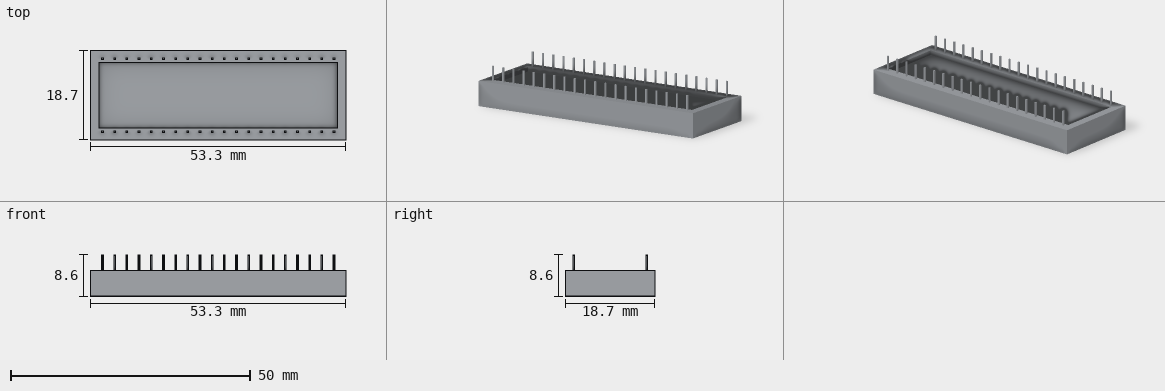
import cadquery as cq

body_length = 53.3
body_width = 18.7
body_height = 5.4
overall_height = 8.6

recess_length = 49.7
recess_width = 13.7
recess_depth = 1.0

pins_per_row = 20
row_count = 2
pin_pitch = 2.54
row_spacing = 15.24
pin_side = 0.35
pin_height = overall_height - body_height


def make_body():
    """Block with the recess cut into its top face."""
    block = cq.Workplane("XY").box(body_length, body_width, body_height, centered=(True, True, False))
    return block.faces(">Z").workplane().rect(recess_length, recess_width).cutBlind(-recess_depth)


def add_pins(body):
    """Raise both rows of pins from the top of the rim."""
    return (
        body.faces(">Z")
        .workplane(origin=(0, 0, body_height))
        .rarray(pin_pitch, row_spacing, pins_per_row, row_count)
        .rect(pin_side, pin_side)
        .extrude(pin_height)
    )


result = add_pins(make_body())